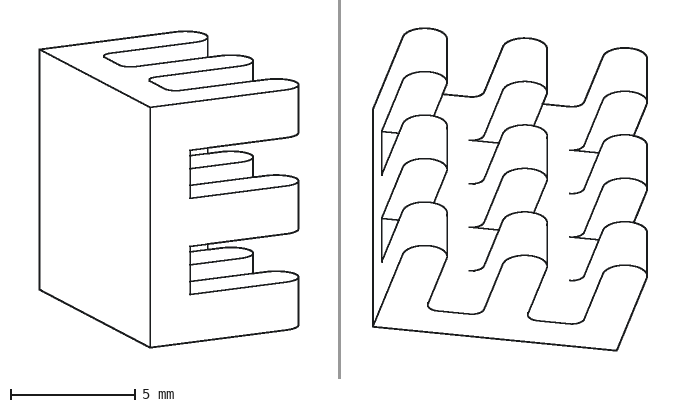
import cadquery as cq

width = 10.0
depth = 7.0
height = 10.0

base_thickness = 1.8
pin_width = 1.8
pins_per_side = 3
root_radius = 0.5

gaps_per_side = pins_per_side - 1
channel_width = (width - pins_per_side * pin_width) / gaps_per_side
layer_height = height / (pins_per_side + gaps_per_side)

pin_length = depth - base_thickness
tip_radius = pin_width / 2
straight_end = depth / 2 - tip_radius
base_top = -depth / 2 + base_thickness


def box_from_base(size_x, size_z, x, z):
    """Box standing on the base plate, as long as the pins, centred at x, z."""
    return cq.Workplane("XY").box(size_x, pin_length, size_z).translate((x, base_top + pin_length / 2, z))


def vertical_channel(x):
    """Full-height gap between pin columns, with rounded corners at its root."""
    return box_from_base(channel_width, height, x, 0).edges("|Z and <Y").fillet(root_radius)


def horizontal_slot(z):
    """Square-cornered gap between pin rows, across the full width."""
    return box_from_base(width, layer_height, 0, z)


def rounded_tip(x):
    """Full-height cylinder that rounds the end of a pin column."""
    bottom = cq.Workplane("XY", origin=(x, straight_end, -height / 2))
    return bottom.circle(tip_radius).extrude(height)


body = cq.Workplane("XY").box(width, straight_end + depth / 2, height)
body = body.translate((0, (straight_end - depth / 2) / 2, 0))

for column in range(pins_per_side):
    pin_offset = column - (pins_per_side - 1) / 2
    body = body.union(rounded_tip(pin_offset * (pin_width + channel_width)))

for gap in range(gaps_per_side):
    offset = gap - (gaps_per_side - 1) / 2
    body = body.cut(vertical_channel(offset * (pin_width + channel_width)))
    body = body.cut(horizontal_slot(offset * 2 * layer_height))

result = body.clean()